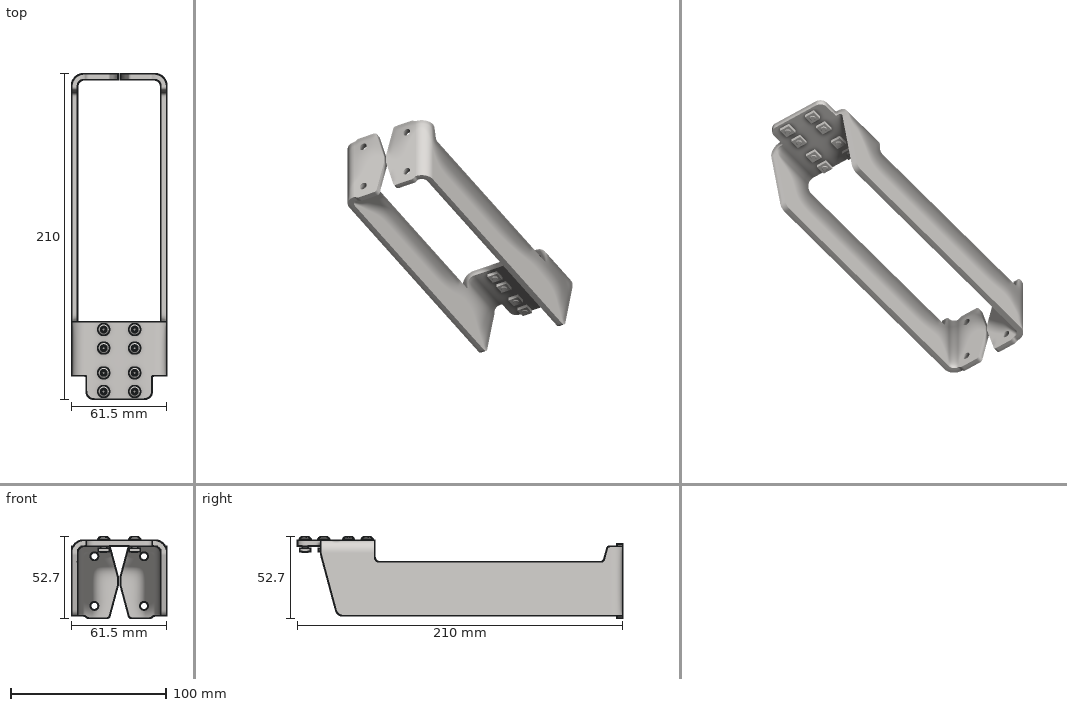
import cadquery as cq
import math

WIDTH = 61.5
LENGTH = 210.0
THICKNESS = 4.0
BEND_OUTER = 8.0
BEND_INNER = BEND_OUTER - THICKNESS
SLOPE = math.tan(math.radians(15))
HALF_WIDTH = WIDTH / 2
FLAT_HALF_WIDTH = HALF_WIDTH - BEND_OUTER
PICK_MARGIN = 0.1

WALL_HEIGHT = 35.0
REAR_HEIGHT = 45.0
REAR_CREST_LENGTH = 10.0
REAR_CORNER_RADIUS = 2.0
NOTCH_RADIUS = 3.0
FRONT_TOE_RADIUS = 5.0
FRONT_BROW_HEIGHT = 40.0
FRONT_BROW_RADIUS = 5.0

PLATE_TOP = 49.0
PLATE_BOTTOM = PLATE_TOP - THICKNESS
BEND_BOTTOM = PLATE_TOP - BEND_OUTER
PLATE_LENGTH = 50.0
PLATE_REAR = PLATE_LENGTH - LENGTH
TAB_LENGTH = 15.0
TAB_WIDTH = 42.5
TAB_CORNER_RADIUS = 5.0
TAB_ROOT_RADIUS = 0.75
BEND_FRONT = TAB_LENGTH - LENGTH

FLANGE_GAP = 1.5
FLANGE_OVERHANG = 1.5
FLANGE_MID = REAR_HEIGHT / 2
FLANGE_HALF_HEIGHT = FLANGE_MID + FLANGE_OVERHANG
FLANGE_NOSE_HALF_HEIGHT = 2.75
FLANGE_CORNER_RADIUS = 2.0
SHOULDER_RADIUS = 3.0
SHOULDER_ROOT_RADIUS = 1.65
FLANGE_HOLE_DIAMETER = 5.0
FLANGE_HOLE_SPACING = 32.0

SCREW_DIAMETER = 4.0
SCREW_LENGTH = 8.0
HEAD_DIAMETER = 7.6
HEAD_HEIGHT = 2.2
HEAD_RIM_HEIGHT = 0.4
HEAD_CROWN_DIAMETER = 4.0
HEAD_DOME_RADIUS = 4.0
SOCKET_ACROSS_FLATS = 2.5
SOCKET_DEPTH = 1.3
SOCKET_TIP_DEPTH = 0.7
NUT_WIDTH = 7.0
NUT_HEIGHT = 2.2
SCREW_TIP = 0.5
SCREW_TIP_CHAMFER = 0.4
SCREW_X = 10.0
SCREW_SETBACKS = (5.0, 17.0, 33.0, 45.0)


def round_corner(body, y, z, radius):
    """Fillet the edge along X that passes through (y, z)."""
    near = cq.selectors.BoxSelector(
        (0, y - PICK_MARGIN, z - PICK_MARGIN),
        (HALF_WIDTH, y + PICK_MARGIN, z + PICK_MARGIN),
    )
    return body.edges(near).fillet(radius)


def make_wall():
    """Right wall with its rear bend, trimmed to the side outline."""
    strip = (
        cq.Workplane("XY")
        .moveTo(HALF_WIDTH, -LENGTH)
        .lineTo(HALF_WIDTH, -BEND_OUTER)
        .radiusArc((FLAT_HALF_WIDTH, 0), -BEND_OUTER)
        .lineTo(FLAT_HALF_WIDTH, -THICKNESS)
        .radiusArc((HALF_WIDTH - THICKNESS, -BEND_OUTER), BEND_INNER)
        .lineTo(HALF_WIDTH - THICKNESS, -LENGTH)
        .close()
        .extrude(PLATE_TOP)
    )
    toe = BEND_FRONT + FRONT_BROW_HEIGHT * SLOPE
    crest_end = -REAR_CREST_LENGTH
    slope_end = crest_end - (REAR_HEIGHT - WALL_HEIGHT) * SLOPE
    outline = (
        cq.Workplane("YZ")
        .polyline([
            (0, 0),
            (toe, 0),
            (BEND_FRONT, FRONT_BROW_HEIGHT),
            (BEND_FRONT, BEND_BOTTOM),
            (PLATE_REAR, BEND_BOTTOM),
            (PLATE_REAR, WALL_HEIGHT),
            (slope_end, WALL_HEIGHT),
            (crest_end, REAR_HEIGHT),
            (0, REAR_HEIGHT),
        ])
        .close()
        .extrude(HALF_WIDTH)
    )
    outline = round_corner(outline, toe, 0, FRONT_TOE_RADIUS)
    outline = round_corner(outline, BEND_FRONT, FRONT_BROW_HEIGHT, FRONT_BROW_RADIUS)
    outline = round_corner(outline, PLATE_REAR, WALL_HEIGHT, NOTCH_RADIUS)
    outline = round_corner(outline, slope_end, WALL_HEIGHT, REAR_CORNER_RADIUS)
    outline = round_corner(outline, crest_end, REAR_HEIGHT, REAR_CORNER_RADIUS)
    return strip.intersect(outline)


def make_flange():
    """Right rear flange with a nose slanted above and below."""
    nose = FLANGE_GAP / 2
    tip = nose + (FLANGE_HALF_HEIGHT - FLANGE_NOSE_HALF_HEIGHT) * SLOPE
    turn = math.acos(1 - FLANGE_OVERHANG / (SHOULDER_RADIUS + SHOULDER_ROOT_RADIUS))
    s_middle = FLAT_HALF_WIDTH - SHOULDER_ROOT_RADIUS * math.sin(turn)
    s_end = s_middle - SHOULDER_RADIUS * math.sin(turn)
    s_middle_height = FLANGE_MID + SHOULDER_ROOT_RADIUS * (1 - math.cos(turn))
    tip_edges = cq.selectors.BoxSelector(
        (tip - PICK_MARGIN, -THICKNESS, -FLANGE_OVERHANG - PICK_MARGIN),
        (tip + PICK_MARGIN, 0, REAR_HEIGHT + FLANGE_OVERHANG + PICK_MARGIN),
    )
    return (
        cq.Workplane("XZ", origin=(0, 0, FLANGE_MID))
        .moveTo(nose, -FLANGE_NOSE_HALF_HEIGHT)
        .lineTo(nose, FLANGE_NOSE_HALF_HEIGHT)
        .lineTo(tip, FLANGE_HALF_HEIGHT)
        .lineTo(s_end, FLANGE_HALF_HEIGHT)
        .radiusArc((s_middle, s_middle_height), SHOULDER_RADIUS)
        .radiusArc((FLAT_HALF_WIDTH, FLANGE_MID), -SHOULDER_ROOT_RADIUS)
        .lineTo(FLAT_HALF_WIDTH, -FLANGE_MID)
        .radiusArc((s_middle, -s_middle_height), -SHOULDER_ROOT_RADIUS)
        .radiusArc((s_end, -FLANGE_HALF_HEIGHT), SHOULDER_RADIUS)
        .lineTo(tip, -FLANGE_HALF_HEIGHT)
        .close()
        .extrude(THICKNESS)
        .edges(tip_edges)
        .edges("|Y")
        .fillet(FLANGE_CORNER_RADIUS)
    )


def make_flange_holes():
    """Four mounting holes on a square pattern, two in each rear flange."""
    return (
        cq.Workplane("XZ", origin=(0, 0, FLANGE_MID))
        .rect(FLANGE_HOLE_SPACING, FLANGE_HOLE_SPACING, forConstruction=True)
        .vertices()
        .circle(FLANGE_HOLE_DIAMETER / 2)
        .extrude(THICKNESS)
    )


def make_top_bend():
    """Right bend that joins the wall to the top plate."""
    return (
        cq.Workplane("XZ", origin=(0, PLATE_REAR, 0))
        .moveTo(HALF_WIDTH, BEND_BOTTOM)
        .radiusArc((FLAT_HALF_WIDTH, PLATE_TOP), -BEND_OUTER)
        .lineTo(FLAT_HALF_WIDTH, PLATE_BOTTOM)
        .radiusArc((HALF_WIDTH - THICKNESS, BEND_BOTTOM), BEND_INNER)
        .close()
        .extrude(PLATE_LENGTH - TAB_LENGTH)
    )


def make_plate():
    """Flat top plate with a narrower front tab."""
    main_length = PLATE_LENGTH - TAB_LENGTH
    from_front_edge = (True, False, False)
    main = cq.Workplane("XY").box(2 * FLAT_HALF_WIDTH, main_length, THICKNESS, centered=from_front_edge)
    tab = (
        cq.Workplane("XY")
        .box(TAB_WIDTH, PLATE_LENGTH, THICKNESS, centered=from_front_edge)
        .translate((0, -TAB_LENGTH, 0))
        .edges("|Z and <Y")
        .fillet(TAB_CORNER_RADIUS)
    )
    plate = main.union(tab)
    roots = cq.selectors.BoxSelector(
        (-TAB_WIDTH / 2 - PICK_MARGIN, -PICK_MARGIN, 0),
        (TAB_WIDTH / 2 + PICK_MARGIN, PICK_MARGIN, THICKNESS),
    )
    plate = plate.edges("|Z").edges(roots).fillet(TAB_ROOT_RADIUS)
    return plate.translate((0, BEND_FRONT, PLATE_BOTTOM))


def make_screw():
    """Button head screw and nut, seated on z = 0 with the shank pointing down."""
    head_radius = HEAD_DIAMETER / 2
    crown_radius = HEAD_CROWN_DIAMETER / 2
    nut_bottom = SCREW_TIP - SCREW_LENGTH
    head = (
        cq.Workplane("XZ")
        .lineTo(head_radius, 0)
        .lineTo(head_radius, HEAD_RIM_HEIGHT)
        .radiusArc((crown_radius, HEAD_HEIGHT), -HEAD_DOME_RADIUS)
        .lineTo(0, HEAD_HEIGHT)
        .close()
        .revolve(360, (0, 0, 0), (0, 1, 0))
    )
    socket = (
        cq.Workplane("XY", origin=(0, 0, HEAD_HEIGHT - SOCKET_DEPTH))
        .polygon(6, SOCKET_ACROSS_FLATS, circumscribed=True)
        .extrude(SOCKET_DEPTH)
    )
    socket_radius = SOCKET_ACROSS_FLATS / 2
    socket_tip = cq.Workplane(
        cq.Solid.makeCone(
            socket_radius,
            0,
            SOCKET_TIP_DEPTH,
            pnt=cq.Vector(0, 0, HEAD_HEIGHT - SOCKET_DEPTH),
            dir=cq.Vector(0, 0, -1),
        )
    )
    shank = (
        cq.Workplane("XY")
        .circle(SCREW_DIAMETER / 2)
        .extrude(-SCREW_LENGTH)
        .faces("<Z")
        .chamfer(SCREW_TIP_CHAMFER)
    )
    nut = cq.Workplane("XY", origin=(0, 0, nut_bottom)).rect(NUT_WIDTH, NUT_WIDTH).extrude(NUT_HEIGHT)
    return head.cut(socket).cut(socket_tip).union(shank).union(nut)


half = make_wall().union(make_flange()).union(make_top_bend())
body = half.union(half.mirror("YZ")).union(make_plate()).cut(make_flange_holes())

screw = make_screw()
for setback in SCREW_SETBACKS:
    for x in (-SCREW_X, SCREW_X):
        body = body.union(screw.translate((x, setback - LENGTH, PLATE_TOP)))

result = body